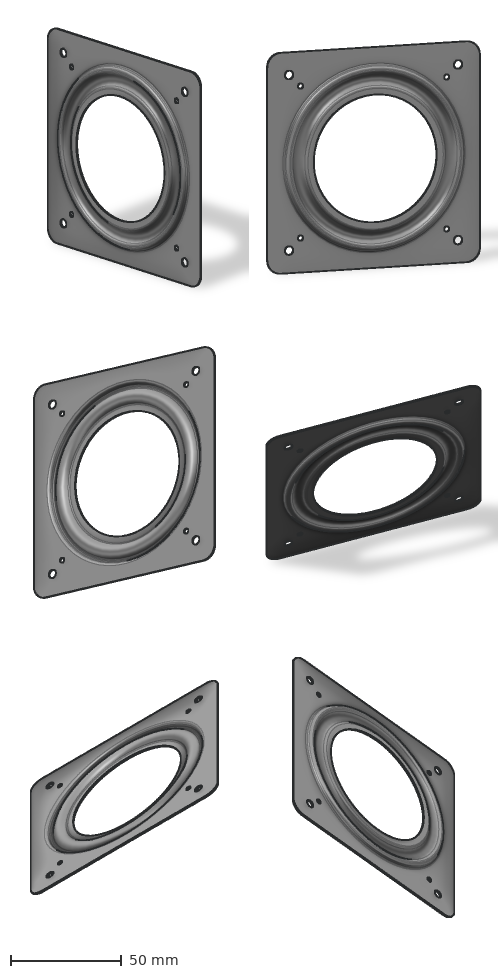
import cadquery as cq
import math

plate_side = 101.6
sheet_thickness = 0.76
corner_radius = 6.35

mount_hole_diameter = 3.96
mount_hole_spacing = 80.77
rivet_hole_diameter = 2.39
rivet_hole_spacing = 69.85

overall_depth = 3.02
center_hole_diameter = 58.75
ring_foot_radius = 43.55
foot_bend_radius = sheet_thickness
rim_bend_radius = 2 * sheet_thickness
outer_wall_angle = math.radians(68)

groove_center_radius = 36.45
groove_radius = 3.3
groove_lip_radius = 2 * sheet_thickness

plate_front = -sheet_thickness
ring_front = -overall_depth
ring_rise = overall_depth - sheet_thickness

groove_reach = groove_lip_radius + groove_radius
groove_angle = math.acos(1 - ring_rise / groove_reach)
lip_offset = groove_reach * math.sin(groove_angle)

outer_bends = foot_bend_radius + rim_bend_radius
wall_rise = ring_rise - outer_bends * (1 - math.cos(outer_wall_angle))
wall_run = wall_rise / math.tan(outer_wall_angle)
rim_center_radius = ring_foot_radius - outer_bends * math.sin(outer_wall_angle) - wall_run

lip_center_y = ring_front + groove_lip_radius
rim_center_y = ring_front + rim_bend_radius
groove_center_y = plate_front - groove_radius
foot_center_y = plate_front - foot_bend_radius

crest = -1
valley = 1

bends = [
    (crest, groove_center_radius - lip_offset, lip_center_y, groove_lip_radius, 0, groove_angle),
    (valley, groove_center_radius, groove_center_y, groove_radius, -groove_angle, groove_angle),
    (crest, groove_center_radius + lip_offset, lip_center_y, groove_lip_radius, -groove_angle, 0),
    (crest, rim_center_radius, rim_center_y, rim_bend_radius, 0, outer_wall_angle),
    (valley, ring_foot_radius, foot_center_y, foot_bend_radius, -outer_wall_angle, 0),
]

joint_tolerance = 1e-6


def bend_points(bend, depth):
    """Start, middle and end of a bend on the surface lying `depth` behind the front."""
    direction, center_radius, center_y, front_radius, start, end = bend
    radius = front_radius + direction * depth
    return [
        (center_radius + radius * math.sin(angle), center_y + direction * radius * math.cos(angle))
        for angle in (start, (start + end) / 2, end)
    ]


def make_ring():
    """Revolve the pressed sheet section around the Y axis."""
    inner_radius = center_hole_diameter / 2
    front_arcs = [bend_points(bend, 0) for bend in bends]
    back_arcs = [bend_points(bend, sheet_thickness)[::-1] for bend in reversed(bends)]

    position = (inner_radius, ring_front)
    section = cq.Workplane("XY").moveTo(*position)
    for start, middle, end in front_arcs + back_arcs:
        if math.dist(position, start) > joint_tolerance:
            section = section.lineTo(*start)
        section = section.threePointArc(middle, end)
        position = end
    section = section.lineTo(inner_radius, ring_front + sheet_thickness).close()
    return section.revolve(360, (0, 0, 0), (0, 1, 0))


def make_plate():
    """Rounded square sheet, open where the ring joins it."""
    plate = (
        cq.Workplane("XZ")
        .rect(plate_side, plate_side)
        .extrude(sheet_thickness)
        .edges("|Y")
        .fillet(corner_radius)
    )
    opening = cq.Workplane("XZ").circle(ring_foot_radius).extrude(sheet_thickness)
    return plate.cut(opening)


def corner_holes(diameter, spacing):
    """Four drills through the plate at the corners of a square."""
    return (
        cq.Workplane("XZ")
        .rect(spacing, spacing, forConstruction=True)
        .vertices()
        .circle(diameter / 2)
        .extrude(sheet_thickness)
    )


result = make_plate().union(make_ring())
result = result.cut(corner_holes(mount_hole_diameter, mount_hole_spacing))
result = result.cut(corner_holes(rivet_hole_diameter, rivet_hole_spacing))